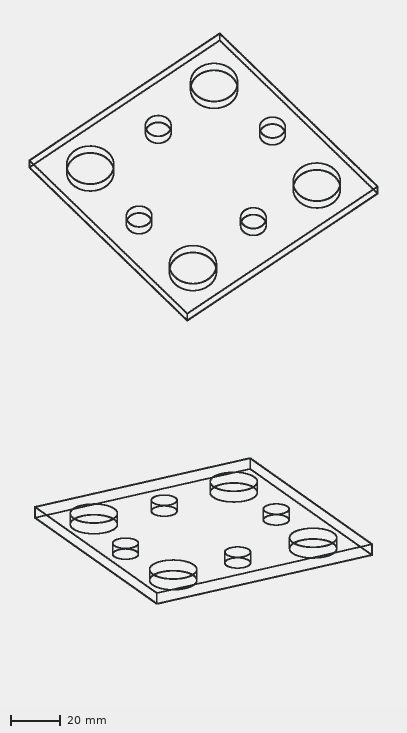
import cadquery as cq

side = 100.0
thickness = 4.8

corner_hole_diameter = 19.1
corner_hole_spacing = 65.0

small_hole_diameter = 10.4
cross_span_x = 60.2
cross_span_y = 70.0
cross_offset_y = 1.2

small_hole_centres = [
    (-cross_span_x / 2, cross_offset_y),
    (cross_span_x / 2, cross_offset_y),
    (0, cross_offset_y - cross_span_y / 2),
    (0, cross_offset_y + cross_span_y / 2),
]

plate = cq.Workplane("XY").box(side, side, thickness)

plate = (
    plate.faces(">Z")
    .workplane()
    .rect(corner_hole_spacing, corner_hole_spacing, forConstruction=True)
    .vertices()
    .hole(corner_hole_diameter)
)

result = (
    plate.faces(">Z")
    .workplane(origin=(0, 0, 0))
    .pushPoints(small_hole_centres)
    .hole(small_hole_diameter)
)